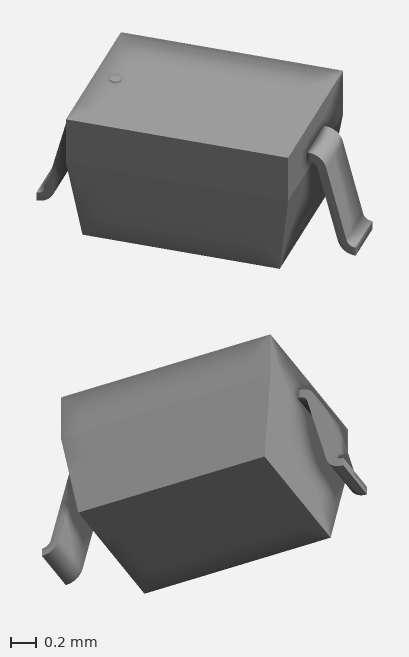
import cadquery as cq
import math

overall_length = 2.59
overall_height = 1.09

housing_length = 1.803
housing_width = 1.35
parting_height = 0.692
base_inset = 0.1

mark_diameter = 0.09
mark_thickness = 0.008
mark_edge_distance = 0.18

lead_width = 0.412
lead_thickness = 0.073
lead_top = 0.857
inner_bend_radius = 0.073
root_flat = 0.013
foot_flat = 0.005

housing_height = overall_height - mark_thickness
lead_reach = (overall_length - housing_length) / 2
outer_bend_radius = inner_bend_radius + lead_thickness


def make_housing():
    upper = (
        cq.Workplane("XY", origin=(0, 0, parting_height))
        .rect(housing_length, housing_width)
        .extrude(housing_height - parting_height)
    )
    lower = (
        cq.Workplane("XY")
        .rect(housing_length - 2 * base_inset, housing_width - 2 * base_inset)
        .workplane(offset=parting_height)
        .rect(housing_length, housing_width)
        .loft(ruled=True)
    )
    return upper.union(lower)


def make_mark():
    mark_x = mark_edge_distance - housing_length / 2
    return (
        cq.Workplane("XY", origin=(mark_x, 0, housing_height))
        .circle(mark_diameter / 2)
        .extrude(mark_thickness)
    )


def point_on_bend(center, radius, angle):
    return (center[0] + radius * math.cos(angle), center[1] + radius * math.sin(angle))


def make_lead(side):
    """Lead at the +X end (side = 1) or the -X end (side = -1)."""
    root_center = (root_flat, lead_top - outer_bend_radius)
    foot_center = (lead_reach - foot_flat, outer_bend_radius)

    run = foot_center[0] - root_center[0]
    rise = foot_center[1] - root_center[1]
    tangent_offset = math.acos((outer_bend_radius + inner_bend_radius) / math.hypot(run, rise))
    leg_angle = math.atan2(rise, run) + tangent_offset

    root_start = math.pi / 2
    root_middle = (root_start + leg_angle) / 2
    foot_start = leg_angle + math.pi
    foot_end = 3 * math.pi / 2
    foot_middle = (foot_start + foot_end) / 2

    def root(radius, angle):
        return point_on_bend(root_center, radius, angle)

    def foot(radius, angle):
        return point_on_bend(foot_center, radius, angle)

    profile = (
        cq.Workplane("XZ")
        .moveTo(0, lead_top)
        .lineTo(root_flat, lead_top)
        .threePointArc(root(outer_bend_radius, root_middle), root(outer_bend_radius, leg_angle))
        .lineTo(*foot(inner_bend_radius, foot_start))
        .threePointArc(foot(inner_bend_radius, foot_middle), foot(inner_bend_radius, foot_end))
        .lineTo(lead_reach, lead_thickness)
        .lineTo(lead_reach, 0)
        .lineTo(foot_center[0], 0)
        .threePointArc(foot(outer_bend_radius, foot_middle), foot(outer_bend_radius, foot_start))
        .lineTo(*root(inner_bend_radius, leg_angle))
        .threePointArc(root(inner_bend_radius, root_middle), root(inner_bend_radius, root_start))
        .lineTo(0, lead_top - lead_thickness)
        .close()
    )
    lead = profile.extrude(lead_width / 2, both=True).translate((housing_length / 2, 0, 0))
    if side < 0:
        lead = lead.rotate((0, 0, 0), (0, 0, 1), 180)
    return lead


housing = make_housing()
mark = make_mark()
leads = [make_lead(side) for side in (-1, 1)]

result = cq.Compound.makeCompound(
    [housing.val(), mark.val(), *[lead.val() for lead in leads]]
)